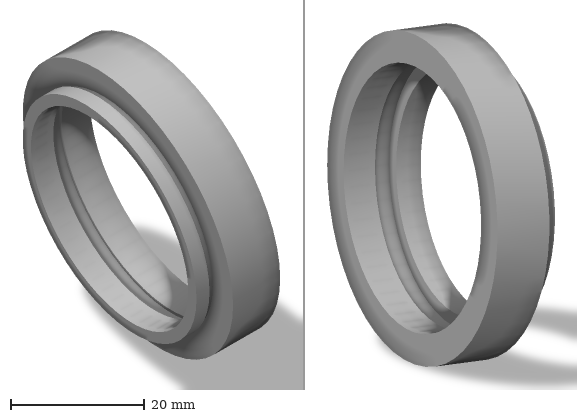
import cadquery as cq

body_diameter = 50.8
lip_diameter = 42.0
neck_diameter = 41.0

front_bore_diameter = 38.0
groove_diameter = 42.2
back_bore_diameter = 41.0

total_length = 12.5
lip_length = 2.5
neck_length = 1.0
body_length = total_length - lip_length - neck_length
front_bore_length = 4.25
back_bore_length = 5.45
groove_length = total_length - front_bore_length - back_bore_length


def disc(diameter, start, length):
    """Solid disc on the Y axis, from start towards +Y."""
    return cq.Workplane("XZ", origin=(0, start, 0)).circle(diameter / 2).extrude(-length)


def stepped_cylinder(start, steps):
    """Coaxial discs, given as (diameter, length), stacked from start towards +Y."""
    stack = cq.Workplane("XZ")
    for diameter, length in steps:
        stack = stack.union(disc(diameter, start, length))
        start += length
    return stack


front = -total_length / 2

outside = stepped_cylinder(front, [
    (lip_diameter, lip_length),
    (neck_diameter, neck_length),
    (body_diameter, body_length),
])

opening = stepped_cylinder(front, [
    (front_bore_diameter, front_bore_length),
    (groove_diameter, groove_length),
    (back_bore_diameter, back_bore_length),
])

result = outside.cut(opening)